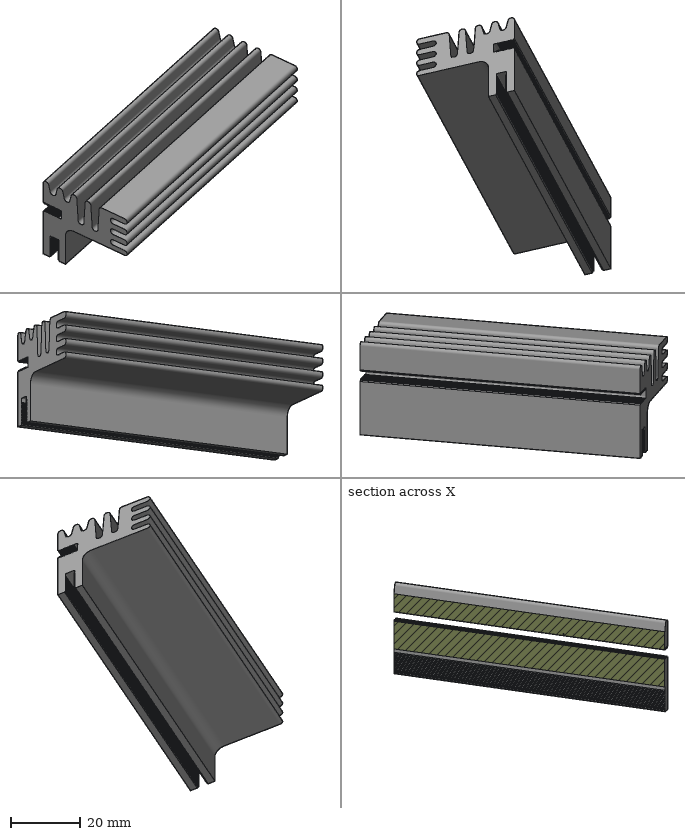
import cadquery as cq
import math


length = 84.0
width = 30.0
height = 28.0
head_height = 13.95
leg_width = 8.0
inner_corner_radius = 3.0
soffit = height - head_height

side_gap_count = 3
fin_thickness = 2.0
fin_radius = fin_thickness / 2
side_fin_pitch = 2 * fin_thickness
side_gap_depth = 6.0
bottom_fin_radius = head_height - fin_radius - side_gap_count * side_fin_pitch

last_crest_x = 21.0
shallow_gap_depth = 3.95
deep_gap_depth = 10.0
top_gap_depths = [shallow_gap_depth, shallow_gap_depth, deep_gap_depth, deep_gap_depth]
top_fin_pitch = (last_crest_x - fin_radius) / len(top_gap_depths)

channel_width = 3.0
channel_corner_radius = 0.3
tooth_pitch = 0.5
tooth_height = 0.25
tooth_flat = 0.13
mouth_flare = 0.25
side_channel_depth = 6.5
side_channel_drop = 10.0
side_channel_z = height - side_channel_drop
side_channel_teeth = 10
foot_channel_depth = 8.0
foot_channel_x = leg_width / 2
foot_channel_teeth = 13

DIAGONAL_GAP = 1 - math.sqrt(0.5)

RIGHT, LEFT, UP, DOWN = (1, 0), (-1, 0), (0, 1), (0, -1)


def frame(origin, along, inward):
    """Map (distance along an edge, depth below it) to profile coordinates."""
    def place(distance, depth):
        x = origin[0] + distance * along[0] + depth * inward[0]
        z = origin[1] + distance * along[1] + depth * inward[1]
        return (x, z)
    return place


def add_outer_corner(outline, corner, arriving, leaving, radius):
    """Add a convex quarter round, starting one radius before the corner."""
    place = frame(corner, leaving, (-arriving[0], -arriving[1]))
    gap = DIAGONAL_GAP * radius
    return outline.threePointArc(place(gap, gap), place(radius, 0))


def add_gap(outline, place, pitch, depth):
    """Go from one fin crest to the next: round tip, tangent flank, round root and back."""
    root_distance = pitch / 2
    root_depth = depth - fin_radius
    rise = root_depth - fin_radius
    centre_spacing = math.hypot(root_distance, rise)
    normal_angle = math.acos(2 * fin_radius / centre_spacing) - math.atan2(rise, root_distance)
    across = fin_radius * math.cos(normal_angle)
    lift = fin_radius * math.sin(normal_angle)
    half_angle = (normal_angle + math.pi / 2) / 2
    mid_across = fin_radius * math.sin(half_angle)
    mid_lift = fin_radius * math.cos(half_angle)
    return (
        outline
        .threePointArc(place(mid_across, fin_radius - mid_lift), place(across, fin_radius - lift))
        .lineTo(*place(root_distance - across, root_depth + lift))
        .threePointArc(place(root_distance, depth), place(root_distance + across, root_depth + lift))
        .lineTo(*place(pitch - across, fin_radius - lift))
        .threePointArc(place(pitch - mid_across, fin_radius - mid_lift), place(pitch, 0))
    )


def toothed_wall(first_valley, tooth_count):
    """List (height above the wall, depth) of a flared mouth and its row of flat-topped teeth."""
    half_flat = tooth_flat / 2
    points = [(-mouth_flare, 0)]
    for tooth in range(tooth_count):
        valley = first_valley + tooth * tooth_pitch
        crest = valley + tooth_pitch / 2
        points += [
            (0, valley + half_flat),
            (tooth_height, crest - half_flat),
            (tooth_height, crest + half_flat),
            (0, valley + tooth_pitch - half_flat),
        ]
    return points


def add_channel(outline, place, depth, tooth_count):
    """Add a screw channel centred on the frame; its two walls are half a pitch apart."""
    half_width = channel_width / 2
    radius = channel_corner_radius
    gap = DIAGONAL_GAP * radius
    for rise, point_depth in toothed_wall(tooth_pitch, tooth_count):
        outline = outline.lineTo(*place(rise - half_width, point_depth))
    outline = (
        outline
        .lineTo(*place(-half_width, depth - radius))
        .threePointArc(place(gap - half_width, depth - gap), place(radius - half_width, depth))
        .lineTo(*place(half_width - radius, depth))
        .threePointArc(place(half_width - gap, depth - gap), place(half_width, depth - radius))
    )
    for rise, point_depth in reversed(toothed_wall(tooth_pitch / 2, tooth_count)):
        outline = outline.lineTo(*place(half_width - rise, point_depth))
    return outline


outline = cq.Workplane("XZ").moveTo(0, 0)
side_channel = frame((0, side_channel_z), UP, RIGHT)
outline = add_channel(outline, side_channel, side_channel_depth, side_channel_teeth)
outline = outline.lineTo(0, height - fin_radius)
outline = add_outer_corner(outline, (0, height), UP, RIGHT, fin_radius)

for index, gap_depth in enumerate(top_gap_depths):
    crest = (fin_radius + index * top_fin_pitch, height)
    outline = add_gap(outline, frame(crest, RIGHT, DOWN), top_fin_pitch, gap_depth)

outline = outline.lineTo(width - fin_radius, height)
outline = add_outer_corner(outline, (width, height), RIGHT, DOWN, fin_radius)
for index in range(side_gap_count):
    crest = (width, height - fin_radius - index * side_fin_pitch)
    outline = add_gap(outline, frame(crest, DOWN, LEFT), side_fin_pitch, side_gap_depth)
outline = add_outer_corner(outline, (width, soffit), DOWN, LEFT, bottom_fin_radius)

corner_gap = DIAGONAL_GAP * inner_corner_radius
outline = (
    outline
    .lineTo(leg_width + inner_corner_radius, soffit)
    .threePointArc(
        (leg_width + corner_gap, soffit - corner_gap),
        (leg_width, soffit - inner_corner_radius),
    )
    .lineTo(leg_width, 0)
)

foot_channel = frame((foot_channel_x, 0), LEFT, UP)
outline = add_channel(outline, foot_channel, foot_channel_depth, foot_channel_teeth)

result = outline.close().extrude(-length)